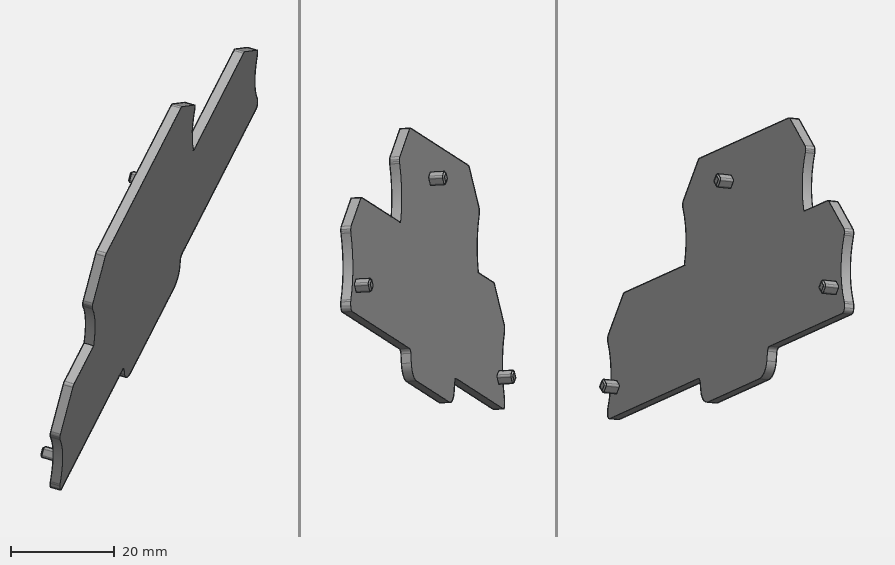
import cadquery as cq
import math

plate_thickness = 2.0
pin_length = 3.1
pin_side = 2.1
pin_corner_radius = 0.4
pin_chamfer = 0.3

body_bottom = 5.5
shoulder_height = 29.2
top_height = 49.0

body_half_width = 53
upper_left = 19.4
upper_right = -35.6
corner_cut = 7.2
corner_radius = 1.0

scallop_span = 13.5
scallop_depth = 1.5
scallop_gap = 1.0
scallop_radius = ((scallop_span / 2) ** 2 + scallop_depth**2) / (2 * scallop_depth)

tab_left = 11.8
tab_right = -18.8
tab_draft = 10
tab_radius = 3.5

side_margin = 1.1
level_margin = 0.1

pin_centres = [(49.1, 11.1), (-2.0, 41.6), (-49.1, 11.1)]


def edges_between(block, right, left, bottom, top):
    """Edges through the thickness that lie inside a YZ range."""
    near = (-side_margin, right - side_margin, bottom)
    far = (plate_thickness + side_margin, left + side_margin, top)
    return block.edges("|X").edges(cq.selectors.BoxSelector(near, far))


def cut_corner_block(right, left, bottom, top):
    """Plate with both upper corners cut at 45 degrees and slightly rounded."""
    outline = [
        (right, bottom),
        (left, bottom),
        (left, top - corner_cut),
        (left - corner_cut, top),
        (right + corner_cut, top),
        (right, top - corner_cut),
    ]
    block = cq.Workplane("YZ").polyline(outline).close().extrude(plate_thickness)
    cut_start = top - corner_cut - corner_radius
    return edges_between(block, right, left, cut_start, top + side_margin).fillet(corner_radius)


def scallop_cutter(side, outward, top):
    """Cylinder that hollows a side below its corner cut."""
    centre_y = side + outward * (scallop_radius - scallop_depth)
    centre_z = top - corner_cut - scallop_gap - scallop_span / 2
    return (
        cq.Workplane("YZ").center(centre_y, centre_z)
        .circle(scallop_radius).extrude(plate_thickness)
    )


def scalloped_block(right, left, bottom, top):
    """Corner-cut block with a scallop in each side, its ends rounded over."""
    block = cut_corner_block(right, left, bottom, top)
    block = block.cut(scallop_cutter(left, 1, top))
    block = block.cut(scallop_cutter(right, -1, top))
    upper_end = top - corner_cut - scallop_gap
    for end_height in (upper_end, upper_end - scallop_span):
        if end_height > bottom:
            ends = edges_between(block, right, left, end_height - level_margin, end_height + level_margin)
            block = ends.fillet(corner_radius)
    return block


def tab():
    """Tab with rounded lower corners."""
    inset = body_bottom * math.tan(math.radians(tab_draft))
    outline = [
        (tab_right, body_bottom),
        (tab_left, body_bottom),
        (tab_left - inset, 0),
        (tab_right + inset, 0),
    ]
    blank = cq.Workplane("YZ").polyline(outline).close().extrude(plate_thickness)
    return blank.edges("|X and <Z").fillet(tab_radius)


def pins():
    """Square pins with rounded corners, standing on a corner, with chamfered tips."""
    return (
        cq.Workplane("YZ").pushPoints(pin_centres)
        .polygon(4, pin_side * math.sqrt(2)).extrude(-pin_length)
        .edges("|X").fillet(pin_corner_radius)
        .faces("<X").chamfer(pin_chamfer)
    )


lower_body = scalloped_block(-body_half_width, body_half_width, body_bottom, shoulder_height)
lower_body = lower_body.edges("|X and <Z").fillet(corner_radius)
upper_body = scalloped_block(upper_right, upper_left, shoulder_height, top_height)

plate = lower_body.union(upper_body).union(tab())
tab_joints = edges_between(
    plate, tab_right, tab_left, body_bottom - level_margin, body_bottom + level_margin
)
plate = tab_joints.fillet(corner_radius)

result = plate.union(pins())